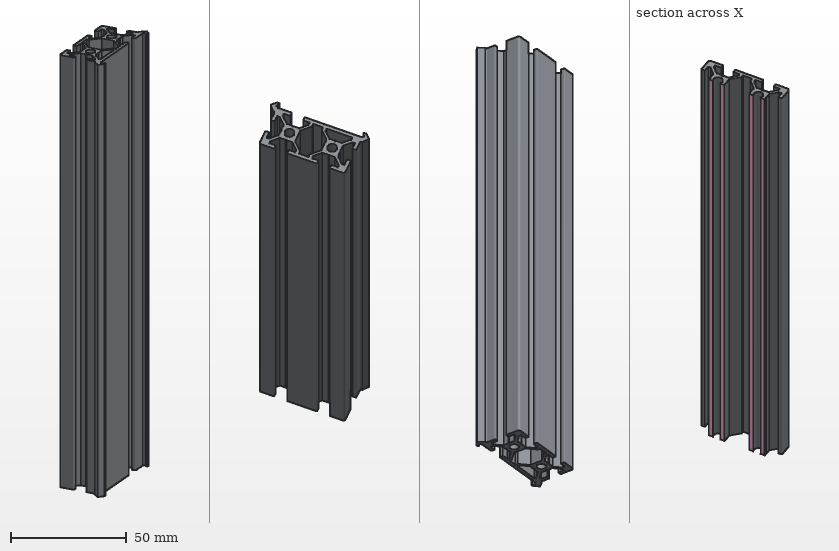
import cadquery as cq

length = 200.0
cell = 20.0
half_width = cell / 2
core_offset = cell / 2
half_height = cell

wall = 1.8
slot_opening = 6.0
corner_block = 4.0
corner_radius = 1.0
lip_radius = 0.3
core_side = 7.8
groove_width = 0.5
groove_depth = 0.2
bore_diameter = 4.2
outer_web = 1.5
inner_web = 1.3
stub_inner_y = 2.2

clip_reach = 2.5
clip_rise = 3.0
clip_peak_overhang = 0.3
clip_shoulder_rise = 0.8
clip_root = 2.5
clip_root_radius = 0.5
hook_tip_drop = 0.5
hook_tip_width = 0.5
hook_notch_rise = 0.5


def bar(x_min, x_max, y_min, y_max):
    """Full-length rectangular bar between the given section limits."""
    return (
        cq.Workplane("XY")
        .rect(x_max - x_min, y_max - y_min)
        .extrude(length)
        .translate(((x_min + x_max) / 2, (y_min + y_max) / 2, 0))
    )


def core_with_webs():
    """Grooved square core with diagonal webs to the corner blocks and the wall stubs."""
    outer_reach = core_offset - corner_block / 2
    inner_reach = core_offset - stub_inner_y - inner_web / 2 / 2**0.5
    core = cq.Workplane("XY").rect(core_side, core_side).extrude(length)
    for reach, thickness, angles in (
        (outer_reach, outer_web, (45, 135)),
        (inner_reach, inner_web, (-45, -135)),
    ):
        web_length = reach * 2**0.5
        web = cq.Workplane("XY").rect(web_length, thickness).extrude(length).translate((web_length / 2, 0, 0))
        for angle in angles:
            core = core.union(web.rotate((0, 0, 0), (0, 0, 1), angle))
    face = core_side / 2
    groove = (
        cq.Workplane("XY")
        .polyline([(face, -groove_width / 2), (face - groove_depth, 0), (face, groove_width / 2)])
        .close()
        .extrude(length)
    )
    for angle in (0, 90, 180):
        core = core.cut(groove.rotate((0, 0, 0), (0, 0, 1), angle))
    return core.translate((0, core_offset, 0))


def outer_corner(rounded):
    """Corner block and its two slot lips, at the +X +Y corner of the upper half."""
    lip = (cell - slot_opening) / 2
    x_lip = half_width - lip
    y_lip = half_height - lip
    corner = bar(half_width - corner_block, half_width, half_height - corner_block, half_height)
    y_face_lip = bar(x_lip, half_width, half_height - wall, half_height)
    x_face_lip = bar(half_width - wall, half_width, y_lip, half_height)
    corner = corner.union(y_face_lip.edges("|Z and <X and >Y").fillet(lip_radius))
    corner = corner.union(x_face_lip.edges("|Z and >X and <Y").fillet(lip_radius))
    if rounded:
        corner = corner.edges("|Z and >X and >Y").fillet(corner_radius)
    return corner


def middle_wall():
    """Half of the +X wall between the two side slots, with the stub that carries the web."""
    wall_end = core_offset - slot_opening / 2
    stub_end = half_width - stub_inner_y - inner_web / 2**0.5
    flat = bar(half_width - wall, half_width, 0, wall_end).edges("|Z and >X and >Y").fillet(lip_radius)
    return flat.union(bar(stub_end, half_width, stub_inner_y, corner_block))


def clip():
    """Peaked strip with a hook that hangs over the +X face."""
    peak_x = half_width + clip_peak_overhang
    peak_y = half_height + clip_rise
    shoulder_y = half_height + clip_shoulder_rise
    root_x = half_width - clip_root
    hook_x = half_width + clip_reach
    tip_y = half_height - hook_tip_drop
    outline = [
        (root_x, half_height - wall),
        (root_x, shoulder_y),
        (peak_x, peak_y),
        (hook_x, peak_y - (hook_x - peak_x)),
        (hook_x, tip_y),
        (hook_x - hook_tip_width, tip_y),
        (hook_x - hook_tip_width - (hook_notch_rise + hook_tip_drop), half_height + hook_notch_rise),
        (half_width, tip_y),
        (half_width, half_height - wall),
    ]
    strip = cq.Workplane("XY").polyline(outline).close().extrude(length)
    root_square = bar(root_x - clip_root_radius, root_x, half_height, half_height + clip_root_radius)
    root_round = (
        cq.Workplane("XY")
        .center(root_x - clip_root_radius, half_height + clip_root_radius)
        .circle(clip_root_radius)
        .extrude(length)
    )
    return strip.union(root_square.cut(root_round))


upper_half = (
    core_with_webs()
    .union(outer_corner(rounded=False))
    .union(outer_corner(rounded=True).mirror("YZ"))
    .union(middle_wall())
    .union(middle_wall().mirror("YZ"))
    .union(clip())
)
profile = upper_half.union(upper_half.mirror("XZ"))

closed_slot_wall = bar(half_width - wall, half_width, -half_height, 0)

bores = (
    cq.Workplane("XY")
    .pushPoints([(0, core_offset), (0, -core_offset)])
    .circle(bore_diameter / 2)
    .extrude(length)
)

result = profile.union(closed_slot_wall).cut(bores).clean()